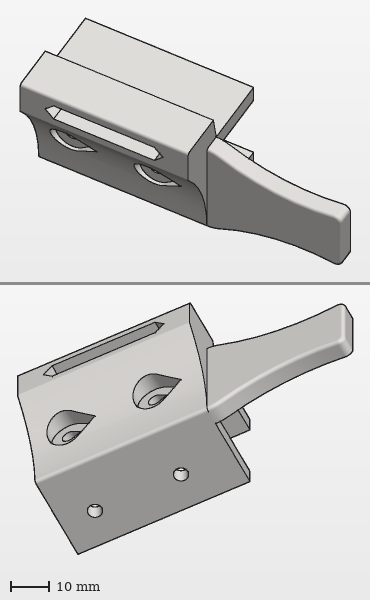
import cadquery as cq
import math

TOTAL_LENGTH = 90.0
BODY_LENGTH = 50.0
HEIGHT = 38.0
EDGE_RADIUS = 1.0

FLANGE_THICKNESS = 5.0
FLANGE_REACH = 20.0
FLANGE_GAP = 20.0
WEB_THICKNESS = 5.0
FRONT_DEPTH = 15.0
HEAD_SETBACK = 1.5
CURVE_TOP_Z = 27.6
CURVE_MID_DEPTH = 8.3
CURVE_MID_Z = 16.6
UPPER_FLANGE_Z = FLANGE_THICKNESS + FLANGE_GAP
UPPER_FLANGE_TOP_Z = UPPER_FLANGE_Z + FLANGE_THICKNESS

HANDLE_THICKNESS = 5.0
HANDLE_HEIGHT = UPPER_FLANGE_TOP_Z
HANDLE_MID_Z = HANDLE_HEIGHT / 2
WAIST_HEIGHT = 17.4
WAIST_X = BODY_LENGTH + 28.9
WAIST_RADIUS = 60.0
SHOULDER_RADIUS = 8.5
HANDLE_CORNER_RADIUS = 2.0

HOLE_X = (10.0, 35.0)
HOLE_RADIUS = 2.0
HOLE_TIP_REACH = 3.4
BORE_RADIUS = 5.0
BORE_TIP_REACH = 8.8
BORE_FLOOR_DEPTH = 5.0
FLANGE_HOLE_Y = FLANGE_REACH / 2

WINDOW_LENGTH = 35.0
WINDOW_HEIGHT = 5.0
WINDOW_BOTTOM_Z = UPPER_FLANGE_TOP_Z


def xz_plane(depth):
    """Plane parallel to XZ, the given distance in front of the web's back face."""
    return cq.Workplane("XZ", origin=(0, -depth, 0))


def make_body():
    body = (
        cq.Workplane("YZ")
        .moveTo(FLANGE_REACH, 0)
        .lineTo(-WEB_THICKNESS, 0)
        .threePointArc((-CURVE_MID_DEPTH, CURVE_MID_Z), (-FRONT_DEPTH, CURVE_TOP_Z))
        .lineTo(-FRONT_DEPTH, HEIGHT)
        .lineTo(-HEAD_SETBACK, HEIGHT)
        .lineTo(0, UPPER_FLANGE_TOP_Z)
        .lineTo(FLANGE_REACH, UPPER_FLANGE_TOP_Z)
        .lineTo(FLANGE_REACH, UPPER_FLANGE_Z)
        .lineTo(0, UPPER_FLANGE_Z)
        .lineTo(0, FLANGE_THICKNESS)
        .lineTo(FLANGE_REACH, FLANGE_THICKNESS)
        .close()
        .extrude(BODY_LENGTH)
    )
    front_edges = body.edges("|X and <Y").add(body.edges(
        cq.selectors.NearestToPointSelector((BODY_LENGTH / 2, -WEB_THICKNESS, 0))
    ))
    return front_edges.fillet(EDGE_RADIUS)


def make_handle():
    """Waisted plate: convex shoulders run tangentially into long concave sides."""
    half_height = HANDLE_HEIGHT / 2
    waist_center = WAIST_HEIGHT / 2 + WAIST_RADIUS
    shoulder_center = half_height - SHOULDER_RADIUS
    center_rise = waist_center - shoulder_center
    center_run = math.sqrt((WAIST_RADIUS + SHOULDER_RADIUS) ** 2 - center_rise**2)
    shoulder_x = WAIST_X - center_run
    shoulder_angle = math.atan2(center_run, center_rise)

    def shoulder_point(angle):
        return (
            shoulder_x + SHOULDER_RADIUS * math.sin(angle),
            shoulder_center + SHOULDER_RADIUS * math.cos(angle),
        )

    end_run = TOTAL_LENGTH - WAIST_X
    end_half = waist_center - math.sqrt(WAIST_RADIUS**2 - end_run**2)
    upper_half = (
        xz_plane(0)
        .moveTo(BODY_LENGTH, 0)
        .lineTo(BODY_LENGTH, half_height)
        .lineTo(shoulder_x, half_height)
        .threePointArc(shoulder_point(shoulder_angle / 2), shoulder_point(shoulder_angle))
        .threePointArc((WAIST_X, WAIST_HEIGHT / 2), (TOTAL_LENGTH, end_half))
        .lineTo(TOTAL_LENGTH, 0)
        .close()
        .extrude(HANDLE_THICKNESS)
    )
    plate = upper_half.union(upper_half.mirror("XY")).clean()
    plate = plate.edges("|Y and >X").fillet(HANDLE_CORNER_RADIUS)
    front_rim = plate.faces("<Y").edges().edges("not <X")
    return front_rim.fillet(EDGE_RADIUS).translate((0, 0, HANDLE_MID_Z))


def teardrop(depth, center_x, radius, tip_reach, length):
    """Round hole with a tangent point toward +X, cut forward from the given depth."""
    tangent_angle = math.acos(radius / tip_reach)
    tangent_x = radius * math.cos(tangent_angle)
    tangent_z = radius * math.sin(tangent_angle)
    return (
        xz_plane(depth)
        .center(center_x, HANDLE_MID_Z)
        .moveTo(tip_reach, 0)
        .lineTo(tangent_x, tangent_z)
        .threePointArc((-radius, 0), (tangent_x, -tangent_z))
        .close()
        .extrude(length)
    )


def make_window():
    """Long six-sided slot with 45 degree points at both ends."""
    half_height = WINDOW_HEIGHT / 2
    half_length = WINDOW_LENGTH / 2
    flat_half = half_length - half_height
    return (
        xz_plane(0)
        .center(BODY_LENGTH / 2, WINDOW_BOTTOM_Z + half_height)
        .polyline([
            (-half_length, 0),
            (-flat_half, half_height),
            (flat_half, half_height),
            (half_length, 0),
            (flat_half, -half_height),
            (-flat_half, -half_height),
        ])
        .close()
        .extrude(FRONT_DEPTH)
    )


result = make_body().union(make_handle()).cut(make_window())
for hole_x in HOLE_X:
    bore_length = FRONT_DEPTH - BORE_FLOOR_DEPTH
    flange_hole = (
        cq.Workplane("XY")
        .center(hole_x, FLANGE_HOLE_Y)
        .circle(HOLE_RADIUS)
        .extrude(FLANGE_THICKNESS)
    )
    result = (
        result
        .cut(teardrop(0, hole_x, HOLE_RADIUS, HOLE_TIP_REACH, FRONT_DEPTH))
        .cut(teardrop(BORE_FLOOR_DEPTH, hole_x, BORE_RADIUS, BORE_TIP_REACH, bore_length))
        .cut(flange_hole)
    )